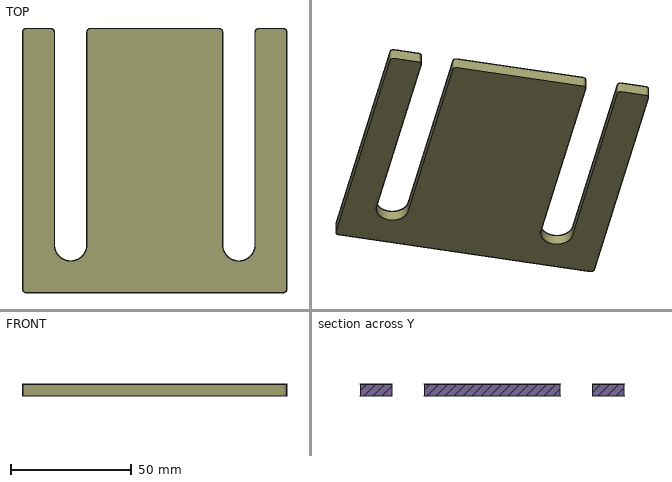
import cadquery as cq

plate_side = 110.0
plate_thickness = 5.0
slot_width = 13.4
slot_inset = 20.0
corner_radius = 1.5

half_side = plate_side / 2
slot_radius = slot_width / 2
slot_offset = half_side - slot_inset
slot_end_center_y = -half_side + slot_inset


def make_plate():
    """Square plate centred on the origin."""
    return cq.Workplane("XY").box(plate_side, plate_side, plate_thickness)


def make_slot_cutter(center_x):
    """Slot open at the +Y edge with a semicircular inner end."""
    left = center_x - slot_radius
    right = center_x + slot_radius
    slot_bottom = (center_x, slot_end_center_y - slot_radius)
    return (
        cq.Workplane("XY")
        .moveTo(left, half_side)
        .lineTo(left, slot_end_center_y)
        .threePointArc(slot_bottom, (right, slot_end_center_y))
        .lineTo(right, half_side)
        .close()
        .extrude(plate_thickness, both=True)
    )


def round_corners(plate):
    """Round the upright edges at the plate corners and slot mouths."""
    return plate.faces("<Y or >Y").edges("|Z").fillet(corner_radius)


slotted_plate = make_plate()
for side in (-1, 1):
    slotted_plate = slotted_plate.cut(make_slot_cutter(side * slot_offset))

result = round_corners(slotted_plate)